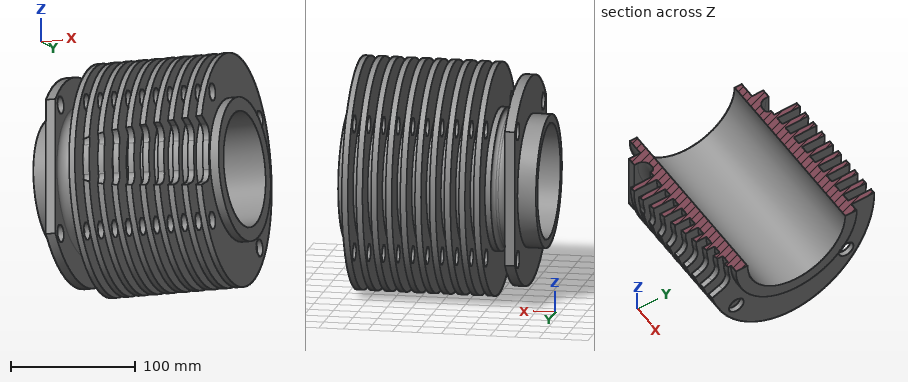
import cadquery as cq
import math

overall_length = 161.0
bore_radius = 47.0
spigot_radius = 54.0
barrel_radius = 58.1

flange_start = 15.0
flange_thickness = 8.2
flange_radius = 85.1
flange_width = 129.5
flange_end = flange_start + flange_thickness

barrel_start = 36.1
flange_fillet = 7.8
barrel_fillet = 3.2

fin_count = 10
first_fin_start = 40.8
fin_pitch = 12.0
fin_thickness = 5.0
fin_half_width = 80.0
fin_half_height = 95.0

bolt_offset = 52.8
bolt_hole_diameter = 14.0

notch_start = first_fin_start + fin_pitch - fin_thickness / 2
notch_start_floor = 80.5
notch_slope = math.radians(10.8)
notch_floor_half_width = 12.2
notch_floor_radius = barrel_radius
notch_corner_radius = 10.5
notch_corner_angle = math.radians(66)
notch_wall_length = 28.5


def make_body():
    """Spigot, neck and barrel as one turned shape."""
    return (
        cq.Workplane("XY")
        .lineTo(0, spigot_radius)
        .lineTo(flange_end, spigot_radius)
        .lineTo(flange_end, spigot_radius + flange_fillet)
        .radiusArc((flange_end + flange_fillet, spigot_radius), -flange_fillet)
        .lineTo(barrel_start - barrel_fillet, spigot_radius)
        .radiusArc((barrel_start, spigot_radius + barrel_fillet), -barrel_fillet)
        .lineTo(barrel_start, barrel_radius)
        .lineTo(overall_length, barrel_radius)
        .lineTo(overall_length, 0)
        .close()
        .revolve(360, (0, 0, 0), (1, 0, 0))
    )


def make_flange():
    disc = cq.Workplane("YZ", origin=(flange_start, 0, 0)).circle(flange_radius).extrude(flange_thickness)
    slab = (
        cq.Workplane("YZ", origin=(flange_start, 0, 0))
        .rect(flange_width, 2 * flange_radius)
        .extrude(flange_thickness)
    )
    return disc.intersect(slab)


def make_fin(index):
    return (
        cq.Workplane("YZ", origin=(first_fin_start + index * fin_pitch, 0, 0))
        .ellipse(fin_half_width, fin_half_height)
        .extrude(fin_thickness)
    )


def make_notch():
    """Channel with a crowned floor, rounded corners and flared walls, deepening toward +X."""
    floor_edge_angle = math.asin(notch_floor_half_width / notch_floor_radius)
    floor_edge_drop = notch_floor_radius * (1 - math.cos(floor_edge_angle))
    corner_center_outward = notch_corner_radius * math.cos(floor_edge_angle) - floor_edge_drop
    corner_center_sideways = notch_floor_half_width + notch_corner_radius * math.sin(floor_edge_angle)

    def corner_point(angle):
        """Point on the corner arc where the surface has turned by this angle from level."""
        outward = corner_center_outward - notch_corner_radius * math.cos(angle)
        sideways = corner_center_sideways + notch_corner_radius * math.sin(angle)
        return outward, sideways

    floor_edge = corner_point(-floor_edge_angle)
    middle = corner_point((notch_corner_angle - floor_edge_angle) / 2)
    tangent = corner_point(notch_corner_angle)
    rim = (
        tangent[0] + notch_wall_length * math.sin(notch_corner_angle),
        tangent[1] + notch_wall_length * math.cos(notch_corner_angle),
    )

    def mirrored(point):
        return point[0], -point[1]

    along = cq.Vector(math.cos(notch_slope), math.sin(notch_slope), 0)
    outward = cq.Vector(math.sin(notch_slope), -math.cos(notch_slope), 0)
    plane = cq.Plane(origin=(notch_start, -notch_start_floor, 0), xDir=outward, normal=along)
    return (
        cq.Workplane(plane)
        .moveTo(*mirrored(floor_edge))
        .threePointArc((0, 0), floor_edge)
        .threePointArc(middle, tangent)
        .lineTo(*rim)
        .lineTo(*mirrored(rim))
        .lineTo(*mirrored(tangent))
        .threePointArc(mirrored(middle), mirrored(floor_edge))
        .close()
        .extrude(overall_length - notch_start)
    )


def make_bolt_holes():
    return (
        cq.Workplane("YZ")
        .rect(2 * bolt_offset, 2 * bolt_offset, forConstruction=True)
        .vertices()
        .circle(bolt_hole_diameter / 2)
        .extrude(overall_length)
    )


notch = make_notch()
result = make_body().union(make_flange())
for fin_index in range(fin_count):
    fin = make_fin(fin_index)
    if fin_index > 0:
        fin = fin.cut(notch)
    result = result.union(fin)

bore = cq.Workplane("YZ").circle(bore_radius).extrude(overall_length)
result = result.cut(bore).cut(make_bolt_holes())